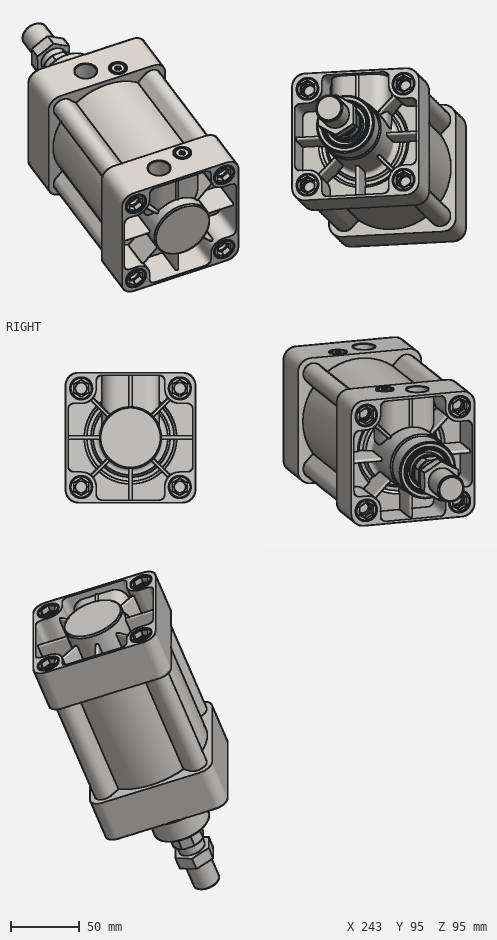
import cadquery as cq
import math


total_length = 243.0
cap_length = 33.3
front_cap_x = 85.8
front_boss_length = 33.0
rear_boss_length = 4.0
rear_cap_end_x = total_length - rear_boss_length
rear_cap_x = rear_cap_end_x - cap_length
barrel_x = front_cap_x + cap_length
mid_x = (barrel_x + rear_cap_x) / 2
boss_front_x = front_cap_x - front_boss_length

cap_size = 95.0
cap_corner_radius = 9.7
boss_diameter = 45.0
boss_root_fillet = 2.7
boss_chamfer_length = 1.5
boss_chamfer_depth = 0.7

wall = 2.0
recess_size = cap_size - 2 * wall
recess_depth = 26.7
nut_block_inner = 25.0
wall_corner_fillet = 4.4
nut_block_fillet = 10.7
rib_thickness = 2.5
rib_setback = 4.5
groove_depth = 2.2
groove_outer_radius = 33.8
groove_floor_outer_radius = 31.8
groove_floor_inner_radius = 29.0
groove_inner_radius = 27.2
port_block_width = 41.8
port_block_edge_radius = 10.5
port_block_setback = 5.3

barrel_diameter = 87.7
tie_rod_offset = 36.0
tie_rod_diameter = 15.0

nut_hole_diameter = 16.5
nut_rim_width = 0.7
nut_rim_depth = 0.7
nut_socket_across_flats = 10.7
nut_socket_depth = 4.9
nut_bore_diameter = 8.5
nut_bore_depth = 8.5

port_y = -9.0
port_diameter = 16.0
port_chamfer = 0.5
port_depth = 14.5
port_passage_diameter = 12.0
cushion_y = 13.5
cushion_offset_x = 7.5
cushion_hole_diameter = 13.4
cushion_diameter = 12.0
cushion_top_diameter = 10.0
cushion_groove_depth = 1.0
cushion_socket_across_flats = 4.0
cushion_socket_depth = 2.0

bush_diameter = 43.0
bush_end_x = 69.5
bush_step_x = 71.2
bush_chamfer = 1.0
seal_pocket_diameter = 31.0
seal_pocket_depth = 3.6
seal_lip_tip_x = 48.5
seal_lip_crest_x = 50.0
seal_lip_crest_diameter = 26.2
seal_lip_root_diameter = 25.8
face_groove_inner_diameter = 33.3
face_groove_outer_diameter = 35.7
face_groove_depth = 0.7

rod_diameter = 25.0
rod_bore_end_x = 221.9
thread_diameter = 20.0
thread_chamfer = 1.0
shoulder_chamfer = 0.5
shoulder_x = 39.4
flats_end_x = 48.0
flats_across = 23.0
lock_nut_x = 22.0
lock_nut_length = 9.7
lock_nut_across_flats = 26.0
lock_nut_chamfer = 0.2


def cylinder(diameter, x_start, x_end):
    """Cylinder on the part axis."""
    return cq.Workplane("YZ", origin=(x_start, 0, 0)).circle(diameter / 2).extrude(x_end - x_start)


def ring(profile):
    """Solid turned about the part axis from (x, radius) points."""
    return cq.Workplane("XY").polyline(profile).close().revolve(360, (0, 0, 0), (1, 0, 0))


def hex_diameter(across_flats):
    """Diameter through the corners of a hexagon."""
    return across_flats / math.cos(math.pi / 6)


def mirrored(body):
    """Copy of a front-end feature at the rear end."""
    return body.mirror("YZ", (mid_x, 0, 0))


def turned_vertical(x, y, profile):
    """Solid turned about the vertical line at (x, y) from (radius, z) points."""
    shape = cq.Workplane("XZ").polyline(profile).close().revolve(360, (0, 0, 0), (0, 1, 0))
    return shape.translate((x, y, 0))


def make_ribs():
    """Round-nosed ribs every 45 degrees between the boss and the cap walls."""
    nose_radius = rib_thickness / 2
    nose_x = front_cap_x + rib_setback + nose_radius
    nose = cq.Workplane("XY", origin=(nose_x, 0, 0)).circle(nose_radius).extrude(cap_size / 2, both=True)
    rib_pair = cq.Workplane("YZ", origin=(nose_x, 0, 0)).rect(rib_thickness, cap_size)
    rib_pair = rib_pair.extrude(barrel_x - nose_x).union(nose)
    ribs = rib_pair
    for index in range(1, 4):
        ribs = ribs.union(rib_pair.rotate((0, 0, 0), (1, 0, 0), 45 * index))
    return ribs


def make_port_block():
    """Rounded block that carries the port and cushion screw above the boss."""
    block_x = front_cap_x + port_block_setback
    return (
        cq.Workplane("XY", origin=(block_x, 0, 0))
        .box(barrel_x - block_x, port_block_width, cap_size / 2, centered=(False, True, False))
        .faces("<X").edges("|Z").fillet(port_block_edge_radius)
    )


def make_recess():
    """Cross-shaped hollow between the four corner blocks that hold the tie-rod nuts."""
    def bar(width, height):
        blank = cq.Workplane("YZ", origin=(front_cap_x, 0, 0)).rect(width, height).extrude(recess_depth)
        return blank.edges("|X").fillet(wall_corner_fillet)

    block_gap = 2 * nut_block_inner
    cross = bar(recess_size, block_gap).union(bar(block_gap, recess_size))
    reach = nut_block_inner + 0.2
    inner_corners = cq.selectors.BoxSelector((front_cap_x, -reach, -reach), (barrel_x, reach, reach))
    return cross.edges(inner_corners).fillet(nut_block_fillet)


def make_floor_groove():
    """Tapered groove in the recess floor around the boss."""
    floor_x = front_cap_x + recess_depth
    bottom_x = floor_x + groove_depth
    return ring([
        (floor_x, groove_inner_radius),
        (bottom_x, groove_floor_inner_radius),
        (bottom_x, groove_floor_outer_radius),
        (floor_x, groove_outer_radius),
    ])


def make_boss_core():
    """Boss inside the recess, with a fillet where it meets the floor."""
    radius = boss_diameter / 2
    floor_x = front_cap_x + recess_depth
    return (
        cq.Workplane("XY")
        .moveTo(front_cap_x, 0)
        .lineTo(front_cap_x, radius)
        .lineTo(floor_x - boss_root_fillet, radius)
        .radiusArc((floor_x, radius + boss_root_fillet), -boss_root_fillet)
        .lineTo(floor_x, 0)
        .close()
        .revolve(360, (0, 0, 0), (1, 0, 0))
    )


def make_nut_cutters():
    """Seat ring, hexagon socket and bore of the four tie-rod nuts."""
    def corners():
        face = cq.Workplane("YZ", origin=(front_cap_x, 0, 0))
        return face.rect(2 * tie_rod_offset, 2 * tie_rod_offset, forConstruction=True).vertices()

    rim_radius = nut_hole_diameter / 2
    rims = corners().circle(rim_radius).circle(rim_radius - nut_rim_width).extrude(nut_rim_depth)
    sockets = corners().polygon(6, hex_diameter(nut_socket_across_flats)).extrude(nut_socket_depth)
    sockets = sockets.rotate((0, 0, 0), (1, 0, 0), 90)
    bores = corners().circle(nut_bore_diameter / 2).extrude(nut_bore_depth)
    return rims.union(sockets).union(bores)


def make_port_cutter():
    """Chamfered port with a narrower passage that reaches the rod axis."""
    top = cap_size / 2
    radius = port_diameter / 2
    passage_radius = port_passage_diameter / 2
    return turned_vertical(front_cap_x + cap_length / 2, port_y, [
        (0, 0),
        (passage_radius, 0),
        (passage_radius, top - port_depth),
        (radius, top - port_depth),
        (radius, top - port_chamfer),
        (radius + port_chamfer, top),
        (0, top),
    ])


def make_cushion_cutter():
    """V groove around the cushion screw, and its hexagon socket."""
    top = cap_size / 2
    x = front_cap_x + cap_length / 2 + cushion_offset_x
    groove = turned_vertical(x, cushion_y, [
        (cushion_top_diameter / 2, top),
        (cushion_diameter / 2, top - cushion_groove_depth),
        (cushion_hole_diameter / 2, top),
    ])
    socket = (
        cq.Workplane("XY", origin=(x, cushion_y, top - cushion_socket_depth))
        .polygon(6, hex_diameter(cushion_socket_across_flats))
        .extrude(cushion_socket_depth)
    )
    tip_radius = cushion_socket_across_flats / 2
    socket_floor = top - cushion_socket_depth
    tip = turned_vertical(x, cushion_y, [
        (0, socket_floor - tip_radius),
        (tip_radius, socket_floor),
        (0, socket_floor),
    ])
    return groove.union(socket).union(tip)


def make_cap():
    """Front end cap with its boss; the rear one is its mirror image."""
    cap = (
        cq.Workplane("YZ", origin=(front_cap_x, 0, 0))
        .rect(cap_size, cap_size).extrude(cap_length)
        .edges("|X").fillet(cap_corner_radius)
    )
    hollow = (
        make_recess()
        .union(make_floor_groove())
        .cut(make_ribs())
        .cut(make_port_block())
        .cut(make_boss_core())
    )
    return cap.cut(hollow).cut(make_nut_cutters()).cut(make_cushion_cutter())


def make_barrel():
    """Barrel with four tie rods, each joined to it by a web as wide as the rod."""
    length = rear_cap_x - barrel_x
    barrel = cylinder(barrel_diameter, barrel_x, rear_cap_x)
    reach = tie_rod_offset * math.sqrt(2)
    for index in range(4):
        web = (
            cq.Workplane("YZ", origin=(barrel_x, 0, 0))
            .slot2D(2 * reach + tie_rod_diameter, tie_rod_diameter)
            .extrude(length)
            .rotate((0, 0, 0), (1, 0, 0), 45 + 90 * index)
        )
        barrel = barrel.union(web)
    return barrel


def make_front_boss():
    """Bush with a seal lip in its end pocket, widening to the full boss."""
    bush_radius = bush_diameter / 2
    pocket_x = boss_front_x + seal_pocket_depth
    pocket_radius = seal_pocket_diameter / 2
    groove_x = boss_front_x + face_groove_depth
    return ring([
        (seal_lip_tip_x, 0),
        (seal_lip_tip_x, rod_diameter / 2),
        (seal_lip_crest_x, seal_lip_crest_diameter / 2),
        (pocket_x, seal_lip_root_diameter / 2),
        (pocket_x, pocket_radius),
        (boss_front_x, pocket_radius),
        (boss_front_x, face_groove_inner_diameter / 2),
        (groove_x, face_groove_inner_diameter / 2),
        (groove_x, face_groove_outer_diameter / 2),
        (boss_front_x, face_groove_outer_diameter / 2),
        (boss_front_x, bush_radius - bush_chamfer),
        (boss_front_x + bush_chamfer, bush_radius),
        (bush_end_x, bush_radius),
        (bush_step_x, boss_diameter / 2),
        (barrel_x, boss_diameter / 2),
        (barrel_x, 0),
    ])


def make_rear_boss():
    """Short chamfered boss behind the rear cap."""
    radius = boss_diameter / 2
    return ring([
        (rear_cap_x, 0),
        (rear_cap_x, radius),
        (total_length - boss_chamfer_length, radius),
        (total_length, radius - boss_chamfer_depth),
        (total_length, 0),
    ])


def make_housing():
    """Caps, bosses, barrel and tie rods, bored for the piston rod."""
    front_cap = make_cap()
    front_port = make_port_cutter()
    bore = cylinder(rod_diameter, seal_lip_tip_x, rod_bore_end_x)
    return (
        make_barrel()
        .union(front_cap)
        .union(mirrored(front_cap))
        .union(make_front_boss())
        .union(make_rear_boss())
        .cut(front_port)
        .cut(mirrored(front_port))
        .cut(bore)
    )


def make_lock_nut():
    """Hexagon nut with a corner up and its corners chamfered at both faces."""
    end_x = lock_nut_x + lock_nut_length
    face_radius = lock_nut_across_flats / 2
    corner_radius = hex_diameter(lock_nut_across_flats) / 2
    hexagon = (
        cq.Workplane("YZ", origin=(lock_nut_x, 0, 0))
        .polygon(6, hex_diameter(lock_nut_across_flats)).extrude(lock_nut_length)
        .rotate((0, 0, 0), (1, 0, 0), 90)
    )
    envelope = ring([
        (lock_nut_x, 0),
        (lock_nut_x, face_radius),
        (lock_nut_x + lock_nut_chamfer, corner_radius),
        (end_x - lock_nut_chamfer, corner_radius),
        (end_x, face_radius),
        (end_x, 0),
    ])
    return hexagon.intersect(envelope)


def make_piston_rod():
    """Threaded rod end with wrench flats and a lock nut."""
    flats_length = flats_end_x - shoulder_x
    thread = cylinder(thread_diameter, 0, shoulder_x).faces("<X").chamfer(thread_chamfer)
    square = (
        cq.Workplane("YZ", origin=(shoulder_x, 0, 0))
        .rect(flats_across, flats_across).extrude(flats_length)
    )
    flats = cylinder(rod_diameter, shoulder_x, flats_end_x).faces("<X").chamfer(shoulder_chamfer)
    flats = flats.intersect(square)
    shank = cylinder(rod_diameter, flats_end_x, rear_cap_x)
    return thread.union(flats).union(shank).union(make_lock_nut())


housing = make_housing()
piston_rod = make_piston_rod()

result = cq.Compound.makeCompound([housing.val(), piston_rod.val()])